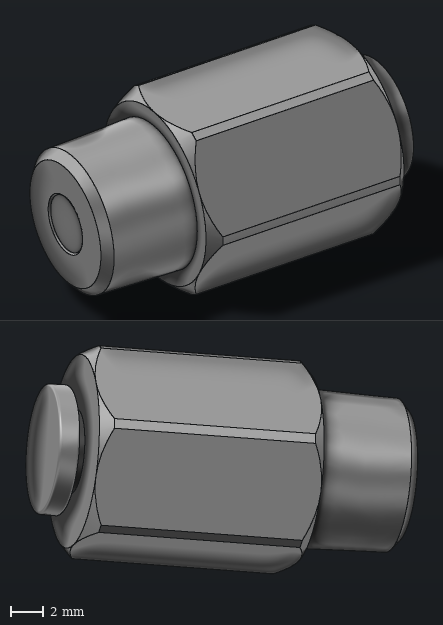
import cadquery as cq
import math

total_length = 22.9

across_flats = 12.0
across_corners = 13.5
body_length = 14.4

thread_length = 6.5
gauge_diameter = 9.73
gauge_offset = 3.55
taper = 1 / 16
tip_diameter = 8.33
tip_chamfer_length = 0.57

recess_diameter = 4.0
recess_chamfer = 0.11

neck_diameter = 5.22
button_diameter = 8.13
button_thickness = 1.3
button_rounding = 0.18
button_length = total_length - thread_length - body_length


def revolve_about_y(points):
    """Turn an outline of (radius, y) points about the Y axis."""
    return cq.Workplane("XY").polyline(points).close().revolve(360, (0, 0, 0), (0, 1, 0))


def make_body():
    flat_radius = across_flats / 2
    corner_radius = across_corners / 2
    sharp_corner_diameter = across_flats / math.cos(math.radians(30))
    chamfer = corner_radius - flat_radius
    hexagon = (
        cq.Workplane("XZ")
        .polygon(6, sharp_corner_diameter)
        .extrude(-body_length)
    )
    turned_blank = revolve_about_y([
        (0, 0),
        (flat_radius, 0),
        (corner_radius, chamfer),
        (corner_radius, body_length - chamfer),
        (flat_radius, body_length),
        (0, body_length),
    ])
    return hexagon.intersect(turned_blank)


def thread_radius(distance):
    """Radius of the taper at a distance from the body face."""
    return (gauge_diameter + taper * (gauge_offset - distance)) / 2


def make_thread():
    chamfer_start = thread_length - tip_chamfer_length
    recess_radius = recess_diameter / 2
    return revolve_about_y([
        (0, 0),
        (thread_radius(0), 0),
        (thread_radius(chamfer_start), -chamfer_start),
        (tip_diameter / 2, -thread_length),
        (recess_radius, -thread_length),
        (recess_radius - recess_chamfer, -thread_length + recess_chamfer),
        (0, -thread_length + recess_chamfer),
    ])


def make_button():
    neck_length = button_length - button_thickness
    neck = (
        cq.Workplane("XZ", origin=(0, body_length, 0))
        .circle(neck_diameter / 2)
        .extrude(-button_length)
    )
    button = (
        cq.Workplane("XZ", origin=(0, body_length + neck_length, 0))
        .circle(button_diameter / 2)
        .extrude(-button_thickness)
        .edges("%CIRCLE")
        .fillet(button_rounding)
    )
    return neck.union(button)


result = make_body().union(make_thread()).union(make_button())